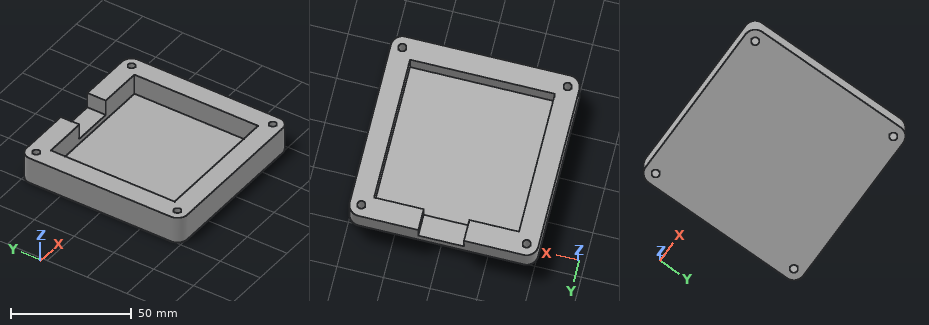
import cadquery as cq

side = 81.0
height = 13.0
corner_radius = 5.0

pocket_side = 62.2
pocket_depth = 10.0
wall = (side - pocket_side) / 2

notch_width = 19.6
notch_depth = 7.5

hole_diameter = 3.4
hole_spacing = side - 2 * corner_radius


def make_body():
    block = cq.Workplane("XY").box(side, side, height, centered=(True, True, False))
    return block.edges("|Z").fillet(corner_radius)


def cut_from_top(width, length, depth, center_y):
    """Rectangular cutter reaching down from the top face."""
    return (
        cq.Workplane("XY", origin=(0, center_y, height))
        .rect(width, length)
        .extrude(-depth)
    )


def make_corner_holes():
    return (
        cq.Workplane("XY")
        .rect(hole_spacing, hole_spacing, forConstruction=True)
        .vertices()
        .circle(hole_diameter / 2)
        .extrude(height)
    )


pocket = cut_from_top(pocket_side, pocket_side, pocket_depth, 0)
notch = cut_from_top(notch_width, wall, notch_depth, (side - wall) / 2)

result = make_body().cut(pocket).cut(notch).cut(make_corner_holes())